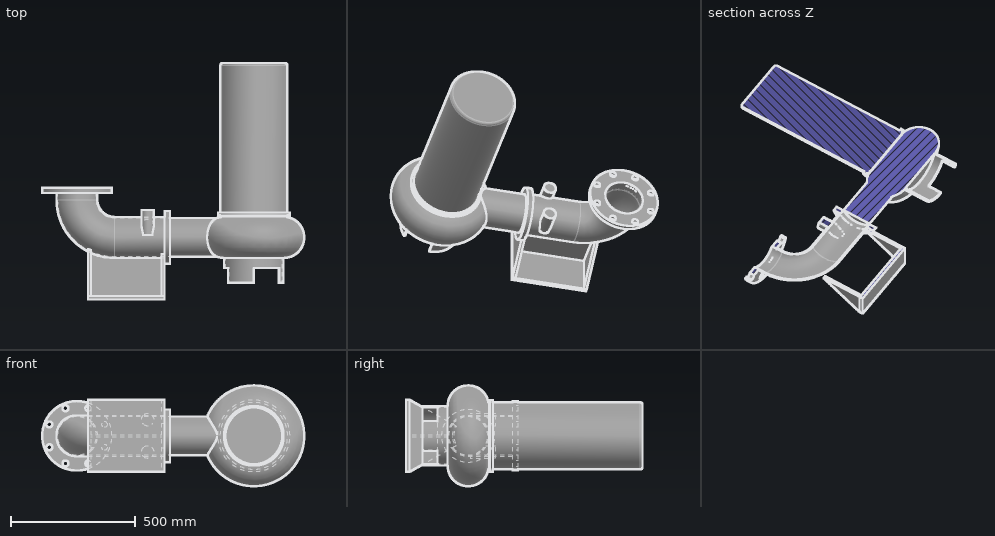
import cadquery as cq
import math

OUTLET_OFFSET = 710.0
BASE_PLATE_FACE = -250.0
MOTOR_END = 700.0

CASING_RING_DIAMETER = 240.0
CASING_TUBE_DIAMETER = 166.0
CASING_HALF_WIDTH = CASING_TUBE_DIAMETER / 2
PUMP_PIPE_DIAMETER = 156.88

SKIRT_DIAMETER = CASING_RING_DIAMETER
SKIRT_BORE = 228.0
SKIRT_LENGTH = 100.0
SKIRT_RING_LENGTH = 40.0
LEG_COUNT = 3
LEG_ANGLE = 60.0

MOTOR_DIAMETER = 270.0
MOTOR_RIM_RADIUS = 10.0
COLLAR_DIAMETER = 288.99
COLLAR_GAP = 5.0
COLLAR_THICKNESS = 12.0

ELBOW_DIAMETER = 165.2
ELBOW_WALL = 5.0
ELBOW_BORE = ELBOW_DIAMETER - 2 * ELBOW_WALL
BEND_RADIUS = 150.0
OUTLET_FACE = 200.0
OUTLET_FLANGE_DIAMETER = 280.0
FLANGE_THICKNESS = 22.0
BOLT_CIRCLE = 240.0
BOLT_HOLE = 23.0
BOLT_COUNT = 8
COUPLING_DIAMETER = 212.92
COUPLING_START = 352.0
COUPLING_END = COUPLING_START + FLANGE_THICKNESS

STUB_DIAMETER = 50.0
STUB_OFFSET_X = 284.0
STUB_HEIGHT = 65.0
STUB_INNER_END = 9.0
STUB_OUTER_END = 110.0

SUPPORT_LENGTH = 308.0
SUPPORT_HEIGHT = 290.0
BASE_THICKNESS = 15.0
GUSSET_THICKNESS = 12.7
GUSSET_SLOPE = 29.5
WEB_THICKNESS = 8.0

OUTLET_X = -OUTLET_OFFSET
BEND_END_X = OUTLET_X + BEND_RADIUS
COUPLING_START_X = OUTLET_X + COUPLING_START
COUPLING_END_X = OUTLET_X + COUPLING_END
SUPPORT_START_X = COUPLING_START_X - SUPPORT_LENGTH
BASE_INNER_FACE = BASE_PLATE_FACE + BASE_THICKNESS


def rod_along_y(diameter, start, end, x=0.0, z=0.0):
    plane = cq.Plane(origin=(x, start, z), xDir=(1, 0, 0), normal=(0, 1, 0))
    return cq.Workplane(plane).circle(diameter / 2).extrude(end - start)


def rod_along_x(diameter, start, end):
    return cq.Workplane("YZ", origin=(start, 0, 0)).circle(diameter / 2).extrude(end - start)


def make_casing():
    ring_radius = CASING_RING_DIAMETER / 2
    section = (
        cq.Workplane("XY")
        .moveTo(0, -CASING_HALF_WIDTH)
        .lineTo(-ring_radius, -CASING_HALF_WIDTH)
        .threePointArc((-ring_radius - CASING_HALF_WIDTH, 0), (-ring_radius, CASING_HALF_WIDTH))
        .lineTo(0, CASING_HALF_WIDTH)
        .close()
    )
    casing = section.revolve(360, (0, 0, 0), (0, 1, 0))
    pipe = rod_along_x(PUMP_PIPE_DIAMETER, COUPLING_END_X, -ring_radius)
    return casing.union(pipe).union(make_skirt())


def make_skirt():
    ring_end = -CASING_HALF_WIDTH - SKIRT_RING_LENGTH
    leg_end = -CASING_HALF_WIDTH - SKIRT_LENGTH
    skirt = rod_along_y(SKIRT_DIAMETER, leg_end, -CASING_HALF_WIDTH)
    skirt = skirt.cut(rod_along_y(SKIRT_BORE, leg_end, -CASING_HALF_WIDTH))
    reach = SKIRT_DIAMETER
    gap_angle = 360.0 / LEG_COUNT - LEG_ANGLE
    half_width = reach * math.tan(math.radians(gap_angle / 2))
    for index in range(LEG_COUNT):
        angle = (index + 0.5) * 360.0 / LEG_COUNT
        gap = (
            cq.Workplane("XZ", origin=(0, ring_end, 0))
            .polyline([(0, 0), (reach, -half_width), (reach, half_width)])
            .close()
            .extrude(SKIRT_LENGTH)
            .rotate((0, 0, 0), (0, 1, 0), -angle)
        )
        skirt = skirt.cut(gap)
    return skirt


def make_motor():
    motor = rod_along_y(MOTOR_DIAMETER, CASING_HALF_WIDTH, MOTOR_END)
    motor = motor.faces(">Y").edges().fillet(MOTOR_RIM_RADIUS)
    collar_start = CASING_HALF_WIDTH + COLLAR_GAP
    return motor.union(rod_along_y(COLLAR_DIAMETER, collar_start, collar_start + COLLAR_THICKNESS))


def elbow_run(diameter):
    path = (
        cq.Workplane("XY")
        .moveTo(OUTLET_X, OUTLET_FACE)
        .lineTo(OUTLET_X, BEND_RADIUS)
        .radiusArc((BEND_END_X, 0), -BEND_RADIUS)
        .lineTo(COUPLING_END_X, 0)
    )
    start = cq.Plane(origin=(OUTLET_X, OUTLET_FACE, 0), xDir=(1, 0, 0), normal=(0, -1, 0))
    return cq.Workplane(start).circle(diameter / 2).sweep(path)


def make_outlet_flange():
    back_face = OUTLET_FACE - FLANGE_THICKNESS
    flange = rod_along_y(OUTLET_FLANGE_DIAMETER, back_face, OUTLET_FACE, x=OUTLET_X)
    for index in range(BOLT_COUNT):
        angle = math.radians((index + 0.5) * 360.0 / BOLT_COUNT)
        hole_x = OUTLET_X + BOLT_CIRCLE / 2 * math.cos(angle)
        hole_z = BOLT_CIRCLE / 2 * math.sin(angle)
        flange = flange.cut(rod_along_y(BOLT_HOLE, back_face, OUTLET_FACE, x=hole_x, z=hole_z))
    return flange


def make_stub(height):
    stub_x = OUTLET_X + STUB_OFFSET_X
    return rod_along_y(STUB_DIAMETER, STUB_INNER_END, STUB_OUTER_END, x=stub_x, z=height)


def make_elbow():
    elbow = elbow_run(ELBOW_DIAMETER)
    return (
        elbow.union(make_outlet_flange())
        .union(rod_along_x(COUPLING_DIAMETER, COUPLING_START_X, COUPLING_END_X))
        .union(make_stub(STUB_HEIGHT))
        .union(make_stub(-STUB_HEIGHT))
        .cut(elbow_run(ELBOW_BORE))
    )


def block(length, width, height, x, y):
    return cq.Workplane("XY", origin=(x, y, 0)).box(length, width, height, centered=(False, False, True))


def make_base_plate():
    return block(SUPPORT_LENGTH, BASE_THICKNESS, SUPPORT_HEIGHT, SUPPORT_START_X, BASE_PLATE_FACE)


def make_saddle():
    half_height = SUPPORT_HEIGHT / 2
    tip_half_height = half_height + BASE_INNER_FACE * math.tan(math.radians(GUSSET_SLOPE))
    saddle = block(SUPPORT_LENGTH, -BASE_INNER_FACE, WEB_THICKNESS, SUPPORT_START_X, BASE_INNER_FACE)
    for gusset_x in (SUPPORT_START_X, COUPLING_START_X - GUSSET_THICKNESS):
        gusset = (
            cq.Workplane("YZ", origin=(gusset_x, 0, 0))
            .moveTo(BASE_INNER_FACE, -half_height)
            .lineTo(0, -tip_half_height)
            .lineTo(0, tip_half_height)
            .lineTo(BASE_INNER_FACE, half_height)
            .close()
            .extrude(GUSSET_THICKNESS)
        )
        saddle = saddle.union(gusset)
    return saddle.cut(elbow_run(ELBOW_DIAMETER)).solids("<Y")


casing = make_casing()
motor = make_motor()
elbow = make_elbow()
base_plate = make_base_plate()
saddle = make_saddle()
result = cq.Compound.makeCompound([casing.val(), motor.val(), elbow.val(), base_plate.val(), saddle.val()])